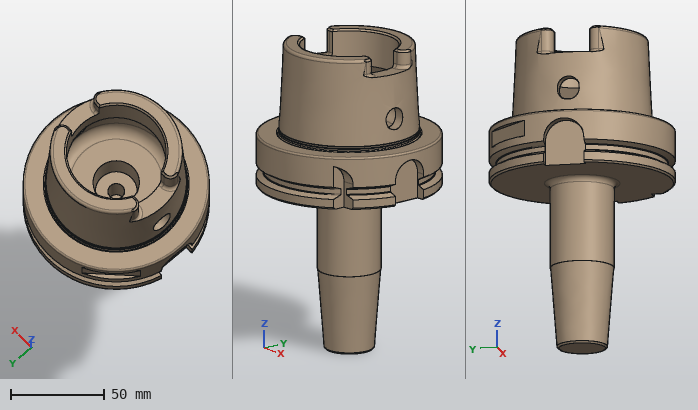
import cadquery as cq
import math

TOTAL_HEIGHT = 170.0
TAPER_LENGTH = 50.0
FLANGE_THICKNESS = 29.0
FACE_Z = TOTAL_HEIGHT - TAPER_LENGTH
FLANGE_BOTTOM_Z = FACE_Z - FLANGE_THICKNESS

TAPER_BASE_RADIUS = 37.9
TAPER_SLOPE = 0.05
TAPER_TOP_FILLET = 1.7
TAPER_TOP_RADIUS = TAPER_BASE_RADIUS - TAPER_SLOPE * TAPER_LENGTH

UNDERCUT_DEPTH = 0.3
UNDERCUT_TOP = 2.7
UNDERCUT_BOTTOM = 1.2
UNDERCUT_RAMP = 0.3

RECESS_DEPTH = 0.5
RECESS_RADIUS = 38.5
RECESS_RIM_RADIUS = 39.1
RECESS_INNER_TOP = 0.3

FLANGE_RADIUS = 50.0
FLANGE_CHAMFER = 1.0
FLANGE_TOP_FILLET = 1.0
GROOVE_DEPTH_BELOW_FACE = 20.0
GROOVE_HALF_MOUTH = 3.4
GROOVE_HALF_FLOOR = 1.7
GROOVE_FLOOR_RADIUS = 46.0
GROOVE_FLOOR_FILLET = 0.5

SHANK_RADIUS = 17.2
SHANK_FILLET = 3.0
NOSE_TOP_RADIUS = 17.0
NOSE_LENGTH = 44.4
NOSE_TIP_RADIUS = 13.6
NOSE_CHAMFER = 1.0

BORE_RADIUS = 26.7
BORE_CHAMFER = 1.0
BORE_DEPTH = 20.0
CAVITY_RADIUS = 31.5
CAVITY_DEPTH = 48.0
CAVITY_FLOOR_FILLET = 6.6
TUBE_SEAT_RADIUS = 12.4
TUBE_SEAT_FLOOR_RADIUS = 11.2
TUBE_SEAT_DEPTH = 13.6
COOLANT_HOLE_RADIUS = 4.5
COOLANT_HOLE_DEPTH = 17.0

NOTCH_WIDTH = 19.7
NOTCH_CORNER_RADIUS = 4.6
NOTCH_CORNER_X = 27.4
NOTCH_WRAP_ANGLE = 15.0
NOTCH_FLARE_LENGTH = 10.2
NOTCH_OUTER_X = TAPER_BASE_RADIUS + 1.7
NOTCH_FLOOR_FILLET = 2.0
NOTCH_RIM_CHAMFER = 1.2
LEFT_NOTCH_DEPTH = 15.0
RIGHT_NOTCH_DEPTH = 10.0

ACCESS_HOLE_RADIUS = 6.0
ACCESS_HOLE_DEPTH_BELOW_TOP = 34.5
ACCESS_HOLE_STRETCH = 1.0

KEYWAY_TOP_BELOW_FACE = 4.8
LEFT_KEYWAY_WIDTH = 22.0
RIGHT_KEYWAY_WIDTH = 20.0
KEYWAY_FLOOR_X = 44.0
CORNER_NOTCH_OFFSET = 31.5
CORNER_NOTCH_RADIUS = 10.0
FLAT_DISTANCE = 47.5
FLAT_TOP_BELOW_FACE = 3.7
FLAT_HEIGHT = 8.5
FLAT_DIRECTION = 135

PICK_MARGIN = 0.2


def revolved_body():
    groove_z = FACE_Z - GROOVE_DEPTH_BELOW_FACE
    undercut_top_z = FACE_Z + UNDERCUT_TOP
    undercut_bottom_z = FACE_Z + UNDERCUT_BOTTOM
    undercut_radius = TAPER_BASE_RADIUS - UNDERCUT_DEPTH
    taper_end_radius = TAPER_BASE_RADIUS - TAPER_SLOPE * UNDERCUT_TOP
    fillet_middle = SHANK_FILLET * (1 - math.sqrt(0.5))
    profile = (
        cq.Workplane("XZ")
        .moveTo(0, 0)
        .lineTo(NOSE_TIP_RADIUS - NOSE_CHAMFER, 0)
        .lineTo(NOSE_TIP_RADIUS, NOSE_CHAMFER)
        .lineTo(NOSE_TOP_RADIUS, NOSE_LENGTH)
        .lineTo(SHANK_RADIUS, NOSE_LENGTH)
        .lineTo(SHANK_RADIUS, FLANGE_BOTTOM_Z - SHANK_FILLET)
        .threePointArc(
            (SHANK_RADIUS + fillet_middle, FLANGE_BOTTOM_Z - fillet_middle),
            (SHANK_RADIUS + SHANK_FILLET, FLANGE_BOTTOM_Z),
        )
        .lineTo(FLANGE_RADIUS - FLANGE_CHAMFER, FLANGE_BOTTOM_Z)
        .lineTo(FLANGE_RADIUS, FLANGE_BOTTOM_Z + FLANGE_CHAMFER)
        .lineTo(FLANGE_RADIUS, groove_z - GROOVE_HALF_MOUTH)
        .lineTo(GROOVE_FLOOR_RADIUS, groove_z - GROOVE_HALF_FLOOR)
        .lineTo(GROOVE_FLOOR_RADIUS, groove_z + GROOVE_HALF_FLOOR)
        .lineTo(FLANGE_RADIUS, groove_z + GROOVE_HALF_MOUTH)
        .lineTo(FLANGE_RADIUS, FACE_Z - FLANGE_TOP_FILLET)
        .radiusArc((FLANGE_RADIUS - FLANGE_TOP_FILLET, FACE_Z), -FLANGE_TOP_FILLET)
        .lineTo(RECESS_RIM_RADIUS, FACE_Z)
        .lineTo(RECESS_RADIUS, FACE_Z - RECESS_DEPTH)
        .lineTo(TAPER_BASE_RADIUS, FACE_Z + RECESS_INNER_TOP)
        .lineTo(TAPER_BASE_RADIUS, undercut_bottom_z)
        .lineTo(undercut_radius, undercut_bottom_z + UNDERCUT_RAMP)
        .lineTo(undercut_radius, undercut_top_z - UNDERCUT_RAMP)
        .lineTo(taper_end_radius, undercut_top_z)
        .lineTo(TAPER_TOP_RADIUS, TOTAL_HEIGHT)
        .lineTo(0, TOTAL_HEIGHT)
        .close()
    )
    body = profile.revolve(360, (0, 0, 0), (0, 1, 0))
    groove_floor_edges = cq.selectors.BoxSelector(
        (-FLANGE_RADIUS, -FLANGE_RADIUS, groove_z - GROOVE_HALF_FLOOR - PICK_MARGIN),
        (FLANGE_RADIUS, FLANGE_RADIUS, groove_z + GROOVE_HALF_FLOOR + PICK_MARGIN),
    )
    body = body.edges(groove_floor_edges).edges("%CIRCLE").fillet(GROOVE_FLOOR_FILLET)
    return body.faces(">Z").edges().fillet(TAPER_TOP_FILLET)


def cavity():
    bore_end_z = TOTAL_HEIGHT - BORE_DEPTH
    clamping_cone_end_z = bore_end_z - (CAVITY_RADIUS - BORE_RADIUS)
    floor_z = TOTAL_HEIGHT - CAVITY_DEPTH
    seat_z = floor_z - TUBE_SEAT_DEPTH
    hole_z = seat_z - COOLANT_HOLE_DEPTH
    profile = (
        cq.Workplane("XZ")
        .moveTo(0, TOTAL_HEIGHT)
        .lineTo(BORE_RADIUS + BORE_CHAMFER, TOTAL_HEIGHT)
        .lineTo(BORE_RADIUS, TOTAL_HEIGHT - BORE_CHAMFER)
        .lineTo(BORE_RADIUS, bore_end_z)
        .lineTo(CAVITY_RADIUS, clamping_cone_end_z)
        .lineTo(CAVITY_RADIUS, floor_z + CAVITY_FLOOR_FILLET)
        .radiusArc((CAVITY_RADIUS - CAVITY_FLOOR_FILLET, floor_z), CAVITY_FLOOR_FILLET)
        .lineTo(TUBE_SEAT_RADIUS, floor_z)
        .lineTo(TUBE_SEAT_FLOOR_RADIUS, seat_z)
        .lineTo(COOLANT_HOLE_RADIUS, seat_z)
        .lineTo(COOLANT_HOLE_RADIUS, hole_z)
        .lineTo(0, hole_z)
        .close()
    )
    return profile.revolve(360, (0, 0, 0), (0, 1, 0))


def notch_outline(base_z):
    """Notch on the +X side seen from above, flaring outwards round both rounded corners."""
    half_width = NOTCH_WIDTH / 2
    corner_y = half_width + NOTCH_CORNER_RADIUS
    wrap = math.radians(NOTCH_WRAP_ANGLE)
    middle = (wrap - math.pi / 2) / 2

    def on_corner(angle):
        return (
            NOTCH_CORNER_X + NOTCH_CORNER_RADIUS * math.cos(angle),
            corner_y + NOTCH_CORNER_RADIUS * math.sin(angle),
        )

    arc_middle = on_corner(middle)
    arc_end = on_corner(wrap)
    flare_end = (
        arc_end[0] - NOTCH_FLARE_LENGTH * math.sin(wrap),
        arc_end[1] + NOTCH_FLARE_LENGTH * math.cos(wrap),
    )
    upper_half = (
        cq.Workplane("XY", origin=(0, 0, base_z))
        .lineTo(0, half_width)
        .lineTo(NOTCH_CORNER_X, half_width)
        .threePointArc(arc_middle, arc_end)
        .lineTo(*flare_end)
        .lineTo(NOTCH_OUTER_X, flare_end[1])
        .lineTo(NOTCH_OUTER_X, 0)
    )
    return upper_half.mirrorX()


def drive_notch(side, depth):
    """Notch through the rim on the side of +X (1) or -X (-1)."""
    floor_z = TOTAL_HEIGHT - depth
    wall_foot = cq.selectors.BoxSelector(
        (1.7, -FLANGE_RADIUS, floor_z - PICK_MARGIN),
        (NOTCH_CORNER_X + NOTCH_CORNER_RADIUS, FLANGE_RADIUS, floor_z + PICK_MARGIN),
    )
    walls = notch_outline(floor_z).extrude(depth).edges(wall_foot).fillet(NOTCH_FLOOR_FILLET)
    rim_chamfer = notch_outline(TOTAL_HEIGHT - NOTCH_RIM_CHAMFER).extrude(NOTCH_RIM_CHAMFER, taper=-45)
    cutter = walls.union(rim_chamfer)
    return cutter if side > 0 else cutter.rotate((0, 0, 0), (0, 0, 1), 180)


def access_holes():
    hole_z = TOTAL_HEIGHT - ACCESS_HOLE_DEPTH_BELOW_TOP
    through = (
        cq.Workplane("YZ", origin=(-FLANGE_RADIUS, 0, hole_z))
        .circle(ACCESS_HOLE_RADIUS)
        .extrude(2 * FLANGE_RADIUS)
    )
    stretched = (
        cq.Workplane("YZ", origin=(-FLANGE_RADIUS, 0, hole_z - ACCESS_HOLE_STRETCH / 2))
        .slot2D(2 * ACCESS_HOLE_RADIUS + ACCESS_HOLE_STRETCH, 2 * ACCESS_HOLE_RADIUS, 90)
        .extrude(FLANGE_RADIUS)
    )
    return through.union(stretched)


def round_topped_slot(y_centre, radius, start_x):
    """Slot open at the flange bottom, running along +X from start_x to outside the flange."""
    centre_z = FACE_Z - KEYWAY_TOP_BELOW_FACE - radius
    return (
        cq.Workplane("YZ", origin=(start_x, y_centre, 0))
        .moveTo(-radius, FLANGE_BOTTOM_Z)
        .lineTo(-radius, centre_z)
        .threePointArc((0, centre_z + radius), (radius, centre_z))
        .lineTo(radius, FLANGE_BOTTOM_Z)
        .close()
        .extrude(FLANGE_RADIUS)
    )


def data_flat():
    """Flat across the rim, facing midway between -X and +Y."""
    flat = cq.Workplane("XY").box(
        FLANGE_RADIUS, 2 * FLANGE_RADIUS, FLAT_HEIGHT, centered=(False, True, False)
    )
    flat = flat.translate((FLAT_DISTANCE, 0, FACE_Z - FLAT_TOP_BELOW_FACE - FLAT_HEIGHT))
    return flat.rotate((0, 0, 0), (0, 0, 1), FLAT_DIRECTION)


right_keyway = round_topped_slot(0, RIGHT_KEYWAY_WIDTH / 2, KEYWAY_FLOOR_X)
left_keyway = round_topped_slot(0, LEFT_KEYWAY_WIDTH / 2, KEYWAY_FLOOR_X).rotate((0, 0, 0), (0, 0, 1), 180)
corner_notch = round_topped_slot(
    -CORNER_NOTCH_OFFSET - CORNER_NOTCH_RADIUS, CORNER_NOTCH_RADIUS, CORNER_NOTCH_OFFSET
)

result = (
    revolved_body()
    .cut(cavity())
    .cut(drive_notch(1, RIGHT_NOTCH_DEPTH))
    .cut(drive_notch(-1, LEFT_NOTCH_DEPTH))
    .cut(access_holes())
    .cut(right_keyway)
    .cut(left_keyway)
    .cut(corner_notch)
    .cut(data_flat())
)